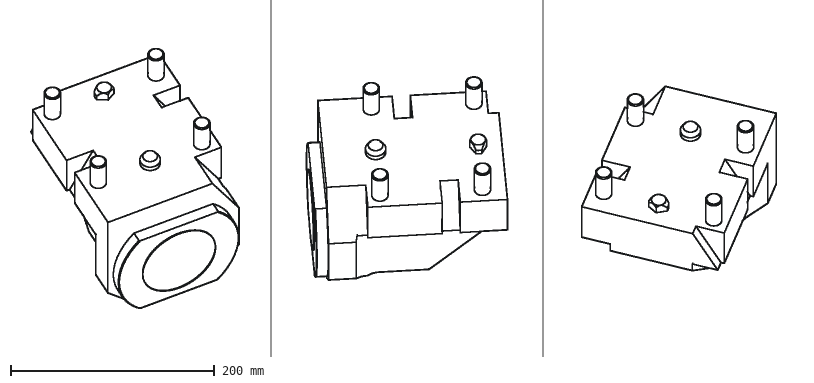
import cadquery as cq
import math


block_length = 176.3
block_width = 144.0
block_height = 130.0
half_width = block_width / 2
plate_thickness = 45.0
nose_height = 54.8
nose_run = block_height - nose_height
bottom_chamfer = 25.7

web_half_width = 42.5
pocket_straight = 124.5
pocket_radius = 20.0
pocket_wall_angle = math.radians(70)

slot_top_y = 42.7
slot_slope = math.radians(30)
slot_width = 18.0
front_slot_starts = (-7.5, 85.0)
rear_slot_start = 46.5
rear_corner_start = 137.5

pin_xs = (23.6, 124.7)
stud_spacing = 113.8
stud_diameter = 16.0
stud_height = 31.0
stud_chamfer = 1.1
locator_diameter = 20.0
locator_height = 10.0
locator_tip_diameter = 14.4
locator_cone_height = locator_height / 2
diamond_half_width = 8.5
diamond_half_angle = math.radians(30)

flange_diameter = 132.3
flange_thickness = 11.7
flange_height = 99.8
flange_chamfer = 0.8
flange_center_z = -block_height + flange_height / 2
spigot_diameter = 80.0
spigot_end = 189.0


def make_block():
    """Full-width block with a 45 degree nose and chamfered lower edges."""
    block = (
        cq.Workplane("XZ")
        .polyline([
            (0, 0),
            (block_length, 0),
            (block_length, -block_height),
            (nose_run, -block_height),
            (0, -nose_height),
        ])
        .close()
        .extrude(half_width, both=True)
    )
    bottom_half = half_width - bottom_chamfer
    chamfer_z = bottom_chamfer - block_height
    envelope = (
        cq.Workplane("YZ")
        .polyline([
            (-half_width, 0),
            (half_width, 0),
            (half_width, chamfer_z),
            (bottom_half, -block_height),
            (-bottom_half, -block_height),
            (-half_width, chamfer_z),
        ])
        .close()
        .extrude(block_length)
    )
    return block.intersect(envelope)


def make_side_pocket():
    """Rear pocket: straight web, concave fillet and steep end wall."""
    def arc_point(angle):
        return (
            pocket_straight + pocket_radius * math.sin(angle),
            web_half_width + pocket_radius * (1 - math.cos(angle)),
        )

    arc_end = arc_point(pocket_wall_angle)
    wall_end_x = arc_end[0] + (half_width - arc_end[1]) / math.tan(pocket_wall_angle)
    return (
        cq.Workplane("XY")
        .workplane(offset=-block_height)
        .moveTo(0, web_half_width)
        .lineTo(pocket_straight, web_half_width)
        .threePointArc(arc_point(pocket_wall_angle / 2), arc_end)
        .lineTo(wall_end_x, half_width)
        .lineTo(0, half_width)
        .close()
        .extrude(block_height - plate_thickness)
    )


def make_rear_slot(start, end):
    """Wedge whose floor slopes out from the top face to the rear side."""
    wedge_depth = (half_width - slot_top_y) / math.tan(slot_slope)
    return (
        cq.Workplane("YZ")
        .workplane(offset=start)
        .polyline([(slot_top_y, 0), (half_width, 0), (half_width, -wedge_depth)])
        .close()
        .extrude(end - start)
    )


def make_stud(x, y):
    return (
        cq.Workplane("XY")
        .center(x, y)
        .circle(stud_diameter / 2)
        .extrude(stud_height)
        .faces(">Z")
        .chamfer(stud_chamfer)
    )


def make_locator(x):
    """Round locating pin with a conical tip."""
    cone_run = (locator_diameter - locator_tip_diameter) / 2
    return (
        cq.Workplane("XY")
        .center(x, 0)
        .circle(locator_diameter / 2)
        .extrude(locator_height)
        .faces(">Z")
        .edges()
        .chamfer(locator_cone_height, cone_run)
    )


def make_diamond_locator(x):
    """Locating pin relieved by four flats so it locates only along Y."""
    half_length = diamond_half_width / math.tan(diamond_half_angle)
    diamond = (
        cq.Workplane("XY")
        .center(x, 0)
        .polyline([
            (diamond_half_width, 0),
            (0, half_length),
            (-diamond_half_width, 0),
            (0, -half_length),
        ])
        .close()
        .extrude(locator_height)
    )
    return make_locator(x).intersect(diamond)


def make_flange():
    """Round end flange with flats at top and bottom, plus its low spigot."""
    flange = (
        cq.Workplane("YZ", origin=(block_length, 0, flange_center_z))
        .circle(flange_diameter / 2)
        .extrude(flange_thickness)
        .faces(">X")
        .chamfer(flange_chamfer)
    )
    flats = (
        cq.Workplane("YZ", origin=(block_length, 0, flange_center_z))
        .rect(flange_diameter, flange_height)
        .extrude(flange_thickness)
    )
    spigot = (
        cq.Workplane("YZ", origin=(block_length, 0, flange_center_z))
        .circle(spigot_diameter / 2)
        .extrude(spigot_end - block_length)
    )
    return flange.intersect(flats).union(spigot)


result = make_block()

rear_pocket = make_side_pocket()
result = result.cut(rear_pocket).cut(rear_pocket.mirror("XZ"))

result = result.cut(make_rear_slot(rear_slot_start, rear_slot_start + slot_width))
result = result.cut(make_rear_slot(rear_corner_start, block_length))
for slot_start in front_slot_starts:
    front_slot = make_rear_slot(slot_start, slot_start + slot_width).mirror("XZ")
    result = result.cut(front_slot)

for stud_x in pin_xs:
    for stud_y in (-stud_spacing / 2, stud_spacing / 2):
        result = result.union(make_stud(stud_x, stud_y))

diamond_x, round_x = pin_xs
result = result.union(make_diamond_locator(diamond_x))
result = result.union(make_locator(round_x))
result = result.union(make_flange())